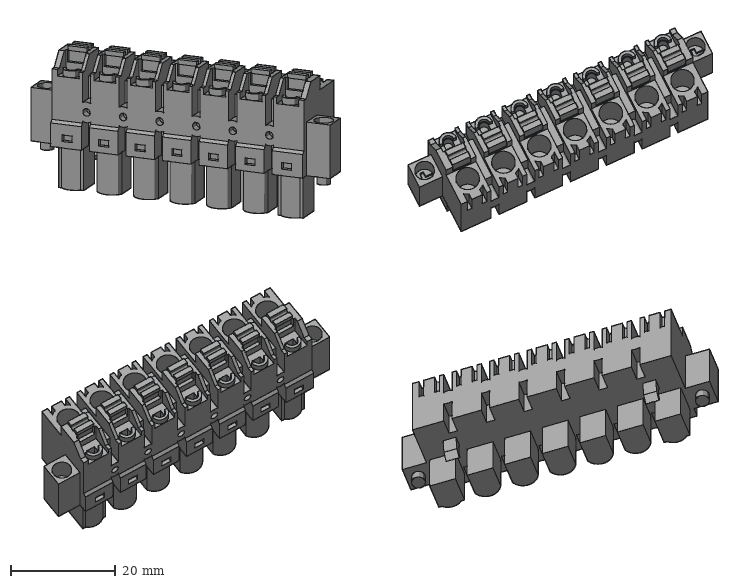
import cadquery as cq
import math


pole_count = 7
pole_span = 45.75
pitch = pole_span / (pole_count - 1)
pole_xs = [i * pitch - pole_span / 2 for i in range(pole_count)]
gap_xs = [x + pitch / 2 for x in pole_xs[:-1]]

total_length = 62.4
body_length = 52.55
back_y = 10.7
front_y = -3.8
rib_y = -4.35
rib_height = 4.75
shoulder_z = 15.4
crest_z = 18.2
crest_back_y = 4.05
crest_front_y = -0.45
crest_toe_y = -2.75

gap_width = 1.7
web_top_z = 13.9
web_front_y = -0.9
web_back_y = 7.6
boss_radius = 2.05
boss_z = 7.55
boss_hole_diameter = 1.5
boss_hole_depth = 1.9

pocket_width = 4.55
pocket_floor_z = 14.1
seat_front_y = 0.45
seat_z = 15.8
collar_y = -2.0
collar_radius = 1.75
collar_bore_radius = 1.1
well_radius = 0.95
well_back_y = -1.0
well_depth = 2.5

entry_diameter = 4.5
entry_y = 6.5
entry_depth = 9.35
relief_radius = 3.2
relief_outer_width = 4.1
relief_inner_width = 2.25
relief_depth = 5

window_width = 2.05
window_bottom_z = 1.3
window_top_z = 2.6
window_depth = 0.95

column_width = 5.25
column_length = 8.7
column_back_y = 2.95
column_front_y = -3.1
key_shoulder_y = -2.4
column_front_radius = 3.0

latch_inner_x = 19.0
latch_width = 2.6

flange_depth = 5.05
flange_height = 10.75
flange_length = (total_length - body_length) / 2
screw_x = 28.8
screw_y = -0.1
head_diameter = 3.75
head_top_z = 6.25
head_height = 2.5
shank_diameter = 2.6
shank_end_z = -1.9
slot_width = 0.6
cross_width = 0.75
cross_length = 2.6
slot_depth = 0.75

lever_width = 3.9
lever_top_z = 19.0
lever_back_y = 3.9
lever_nose_y = 0.7
lever_face_y = 1.2
nose_bottom_z = 18.05
groove_y = 2.25
groove_width = 0.95
groove_depth = 1.0


def box(x_min, x_max, y_min, y_max, z_min, z_max):
    size = (x_max - x_min, y_max - y_min, z_max - z_min)
    return cq.Workplane("XY").box(*size, centered=False).translate((x_min, y_min, z_min))


def centred_box(x, width, y_min, y_max, z_min, z_max):
    return box(x - width / 2, x + width / 2, y_min, y_max, z_min, z_max)


def upright_cylinder(x, y, radius, z_min, z_max):
    return cq.Workplane("XY", origin=(x, y, z_min)).circle(radius).extrude(z_max - z_min)


def cross_cylinder(x, z, radius, y_min, y_max):
    """Cylinder along Y."""
    return cq.Workplane("XZ", origin=(x, y_max, z)).circle(radius).extrude(y_max - y_min)


def side_profile(points, x_min, width):
    """Outline in the YZ plane, extruded along +X."""
    return cq.Workplane("YZ", origin=(x_min, 0, 0)).polyline(points).close().extrude(width)


def body_block():
    """Full-length block with a raised crest on top and a rib along the lower front edge."""
    rib_bevel = front_y - rib_y
    outline = [
        (back_y, 0),
        (back_y, shoulder_z),
        (crest_back_y, shoulder_z),
        (crest_back_y, crest_z),
        (crest_front_y, crest_z),
        (crest_toe_y, shoulder_z),
        (front_y, shoulder_z),
        (front_y, rib_height + rib_bevel),
        (rib_y, rib_height),
        (rib_y, 0),
    ]
    return side_profile(outline, -body_length / 2, body_length)


def gap_cut(x):
    """Channels between two poles, leaving a central web and a round boss at each end of it."""
    front = centred_box(x, gap_width, rib_y, web_front_y, 0, crest_z)
    back = centred_box(x, gap_width, web_back_y, back_y, 0, crest_z)
    top = centred_box(x, gap_width, web_front_y, web_back_y, web_top_z, crest_z)
    boss = cross_cylinder(x, boss_z, boss_radius, front_y, back_y)
    hole = cross_cylinder(x, boss_z, boss_hole_diameter / 2, front_y, front_y + boss_hole_depth)
    return front.union(back).union(top).cut(boss).union(hole)


def clamp_pocket(x):
    """Pocket open to the front, with a narrower lever seat behind it."""
    pocket = centred_box(x, pocket_width, front_y, seat_front_y, pocket_floor_z, crest_z)
    seat = centred_box(x, lever_width, seat_front_y, crest_back_y, seat_z, crest_z)
    return pocket.union(seat)


def collar(x):
    """Half ring standing on the pocket floor, open towards the seat."""
    ring = upright_cylinder(x, collar_y, collar_radius, pocket_floor_z, shoulder_z)
    bore = upright_cylinder(x, collar_y, collar_bore_radius, pocket_floor_z, shoulder_z)
    front_half = centred_box(
        x, 2 * collar_radius, collar_y - collar_radius, collar_y, pocket_floor_z, shoulder_z
    )
    return ring.cut(bore).intersect(front_half)


def well(x):
    """Round-fronted recess in the pocket floor."""
    bottom_z = pocket_floor_z - well_depth
    round_front = upright_cylinder(x, collar_y, well_radius, bottom_z, pocket_floor_z)
    square_back = centred_box(
        x, 2 * well_radius, collar_y, well_back_y, bottom_z, pocket_floor_z
    )
    return round_front.union(square_back)


def wire_entry(x):
    """Round wire hole and the two relief slots between it and the back face."""
    hole = upright_cylinder(x, entry_y, entry_diameter / 2, shoulder_z - entry_depth, shoulder_z)
    bottom_z = shoulder_z - relief_depth
    slots = centred_box(x, relief_outer_width, entry_y, back_y, bottom_z, shoulder_z)
    tongue = centred_box(x, relief_inner_width, entry_y, back_y, bottom_z, shoulder_z)
    sleeve = upright_cylinder(x, entry_y, relief_radius, bottom_z, shoulder_z)
    return hole.union(slots.cut(tongue).cut(sleeve))


def window(x):
    """Shallow rectangular recess in the rib face."""
    return centred_box(
        x, window_width, rib_y, rib_y + window_depth, window_bottom_z, window_top_z
    )


def bow_y(offset):
    """Y of the bowed column front at a sideways offset from the column axis."""
    sagitta = column_front_radius - math.sqrt(column_front_radius**2 - offset**2)
    return column_front_y + sagitta


def plug_column(x):
    """Column whose bowed front reaches from side to side."""
    half = column_width / 2
    return (
        cq.Workplane("XY", origin=(x, 0, -column_length))
        .moveTo(-half, column_back_y)
        .lineTo(-half, bow_y(half))
        .threePointArc((0, column_front_y), (half, bow_y(half)))
        .lineTo(half, column_back_y)
        .close()
        .extrude(column_length)
    )


def keyed_column(x):
    """End column whose front corners are filled out to square shoulders."""
    half = column_width / 2
    shoulders = centred_box(x, column_width, key_shoulder_y, bow_y(half), -column_length, 0)
    return plug_column(x).union(shoulders)


def latch(x_min):
    """Hook hanging from the underside behind an end column."""
    outline = [
        (6.3, 0),
        (5.75, -3.05),
        (4.4, -4.35),
        (4.0, -3.45),
        (4.6, -2.8),
        (4.6, -0.95),
        (4.1, 0),
    ]
    return side_profile(outline, x_min, latch_width)


def flange(side):
    """Block at one end of the row, with a stepped hole for its screw."""
    centre_x = side * (total_length - flange_length) / 2
    block = centred_box(
        centre_x, flange_length, -flange_depth / 2, flange_depth / 2, 0, flange_height
    )
    head_seat_z = head_top_z - head_height
    hole_x = side * screw_x
    head_hole = upright_cylinder(hole_x, screw_y, head_diameter / 2, head_seat_z, flange_height)
    shank_hole = upright_cylinder(hole_x, screw_y, shank_diameter / 2, 0, head_seat_z)
    return block.cut(head_hole).cut(shank_hole)


def make_housing():
    housing = body_block()
    for x in gap_xs:
        housing = housing.cut(gap_cut(x))
    for x in pole_xs:
        housing = housing.cut(clamp_pocket(x)).union(collar(x))
        housing = housing.cut(well(x)).cut(wire_entry(x)).cut(window(x))
    for x in pole_xs[1:-1]:
        housing = housing.union(plug_column(x))
    for x in (pole_xs[0], pole_xs[-1]):
        housing = housing.union(keyed_column(x))
    for x_min in (-latch_inner_x - latch_width, latch_inner_x):
        housing = housing.union(latch(x_min))
    for side in (-1, 1):
        housing = housing.union(flange(side))
    return housing


def make_lever(x):
    """Block with an overhanging nose and a round-bottomed groove across its top."""
    groove_radius = groove_width / 2
    groove_axis_z = lever_top_z - groove_depth + groove_radius
    groove_front_y = groove_y - groove_radius
    groove_back_y = groove_y + groove_radius
    return (
        cq.Workplane("YZ", origin=(x - lever_width / 2, 0, 0))
        .moveTo(lever_back_y, seat_z)
        .lineTo(lever_back_y, lever_top_z)
        .lineTo(groove_back_y, lever_top_z)
        .lineTo(groove_back_y, groove_axis_z)
        .threePointArc((groove_y, groove_axis_z - groove_radius), (groove_front_y, groove_axis_z))
        .lineTo(groove_front_y, lever_top_z)
        .lineTo(lever_nose_y, lever_top_z)
        .lineTo(lever_nose_y, nose_bottom_z)
        .lineTo(lever_face_y, nose_bottom_z)
        .lineTo(lever_face_y, seat_z)
        .close()
        .extrude(lever_width)
    )


def cross_slot_bar(x, x_size, y_size):
    """One bar of the driver recess in a screw head."""
    y_min = screw_y - y_size / 2
    y_max = screw_y + y_size / 2
    return centred_box(x, x_size, y_min, y_max, head_top_z - slot_depth, head_top_z)


def make_screw(x):
    """Flange screw with a full-width slot crossed by a shorter one."""
    head_seat_z = head_top_z - head_height
    head = upright_cylinder(x, screw_y, head_diameter / 2, head_seat_z, head_top_z)
    shank = upright_cylinder(x, screw_y, shank_diameter / 2, shank_end_z, head_seat_z)
    slot = cross_slot_bar(x, head_diameter, slot_width)
    cross = cross_slot_bar(x, cross_width, cross_length)
    return head.union(shank).cut(slot).cut(cross)


housing = make_housing()
levers = [make_lever(x) for x in pole_xs]
screws = [make_screw(side * screw_x) for side in (-1, 1)]

result = cq.Compound.makeCompound(
    [housing.val(), *[lever.val() for lever in levers], *[screw.val() for screw in screws]]
)